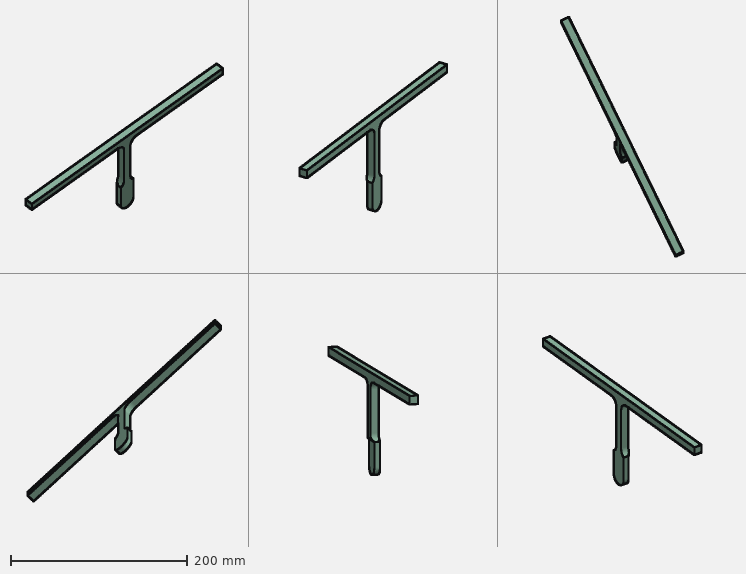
import cadquery as cq
import math

bar_length = 300.0
bar_size = 10.0
root_radius = 10.0

total_height = 119.9
stem_width = 10.0
paddle_width = 20.0
paddle_thickness = 7.0
paddle_length = 40.0

flare_radius = 10.0
nose_radius = 5.8

half_stem = stem_width / 2
half_paddle = paddle_width / 2
tip_z = -total_height
shoulder_z = tip_z + paddle_length
back_x = bar_size / 2
front_x = -bar_size / 2
paddle_face_x = back_x - paddle_thickness


def arc_drop(radius, offset):
    """Length along the tangent over which an arc departs sideways by offset."""
    return math.sqrt(radius**2 - (radius - offset) ** 2)


def arc_offset(radius, drop):
    """Sideways departure of an arc after running drop along its tangent."""
    return radius - math.sqrt(radius**2 - drop**2)


def make_silhouette():
    """T-shaped outline in the YZ plane, extruded through the full thickness."""
    half_bar = bar_length / 2
    root_y = half_stem + root_radius
    root_z = -bar_size - root_radius
    flare_z = shoulder_z + arc_drop(flare_radius, half_paddle - half_stem)
    flare_mid_z = (flare_z + shoulder_z) / 2
    flare_mid_y = half_stem + arc_offset(flare_radius, flare_z - flare_mid_z)
    root_mid = root_radius * math.sqrt(0.5)
    root_mid_y = root_y - root_mid
    root_mid_z = root_z + root_mid
    tip_arc_z = tip_z + half_paddle

    return (
        cq.Workplane("YZ", origin=(front_x, 0, 0))
        .moveTo(-half_bar, 0)
        .lineTo(half_bar, 0)
        .lineTo(half_bar, -bar_size)
        .lineTo(root_y, -bar_size)
        .threePointArc((root_mid_y, root_mid_z), (half_stem, root_z))
        .lineTo(half_stem, flare_z)
        .threePointArc((flare_mid_y, flare_mid_z), (half_paddle, shoulder_z))
        .lineTo(half_paddle, tip_arc_z)
        .threePointArc((0, tip_z), (-half_paddle, tip_arc_z))
        .lineTo(-half_paddle, shoulder_z)
        .threePointArc((-flare_mid_y, flare_mid_z), (-half_stem, flare_z))
        .lineTo(-half_stem, root_z)
        .threePointArc((-root_mid_y, root_mid_z), (-root_y, -bar_size))
        .lineTo(-half_bar, -bar_size)
        .close()
        .extrude(bar_size)
    )


def make_paddle_relief():
    """Material removed from the -X face to thin the paddle below the rounded nose."""
    nose_z = shoulder_z + arc_drop(nose_radius, paddle_face_x - front_x)
    nose_mid_z = (nose_z + shoulder_z) / 2
    nose_mid_x = front_x + arc_offset(nose_radius, nose_z - nose_mid_z)
    return (
        cq.Workplane("XZ")
        .moveTo(front_x, nose_z)
        .threePointArc((nose_mid_x, nose_mid_z), (paddle_face_x, shoulder_z))
        .lineTo(paddle_face_x, tip_z)
        .lineTo(front_x, tip_z)
        .close()
        .extrude(half_paddle, both=True)
    )


result = make_silhouette().cut(make_paddle_relief())